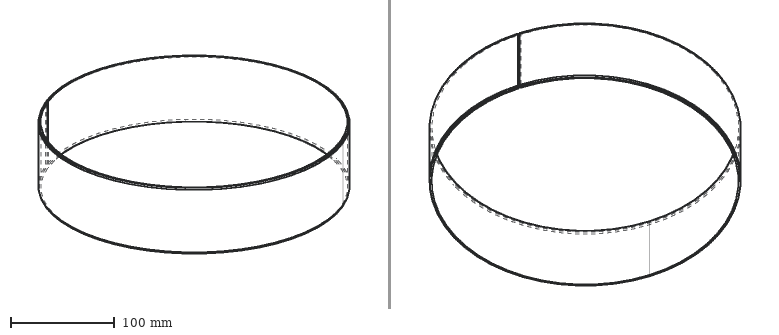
import cadquery as cq

outer_diameter = 300.0
height = 70.0
wall = 2.5
chamfer_height = 1.8
chamfer_depth = 0.5
split_width = 2.25

outer_radius = outer_diameter / 2
inner_radius = outer_radius - wall
rim_radius = outer_radius - chamfer_depth
top = height / 2
chamfer_start = top - chamfer_height

band = (
    cq.Workplane("XZ")
    .moveTo(inner_radius, -top)
    .lineTo(rim_radius, -top)
    .lineTo(outer_radius, -chamfer_start)
    .lineTo(outer_radius, chamfer_start)
    .lineTo(rim_radius, top)
    .lineTo(inner_radius, top)
    .close()
    .revolve(360, (0, 0, 0), (0, 1, 0))
)

split_depth = 2 * wall
split = (
    cq.Workplane("XY")
    .box(split_depth, split_width, height)
    .translate((-outer_radius + wall / 2, split_width / 2, 0))
)

result = band.cut(split)